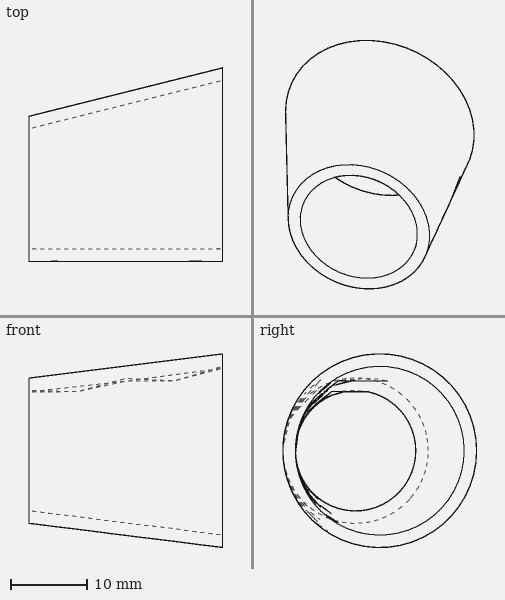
import cadquery as cq

length = 25.4
large_diameter = 25.4
small_diameter = 19.05
wall = 1.65

offset = (large_diameter - small_diameter) / 2


def eccentric_cone(small_end_diameter, large_end_diameter):
    """Solid lofted from the small end at X = 0 to the large end at X = length."""
    return (
        cq.Workplane("YZ")
        .center(-offset, 0)
        .circle(small_end_diameter / 2)
        .workplane(offset=length)
        .center(offset, 0)
        .circle(large_end_diameter / 2)
        .loft(ruled=True)
    )


outer_body = eccentric_cone(small_diameter, large_diameter)
bore = eccentric_cone(small_diameter - 2 * wall, large_diameter - 2 * wall)

result = outer_body.cut(bore)